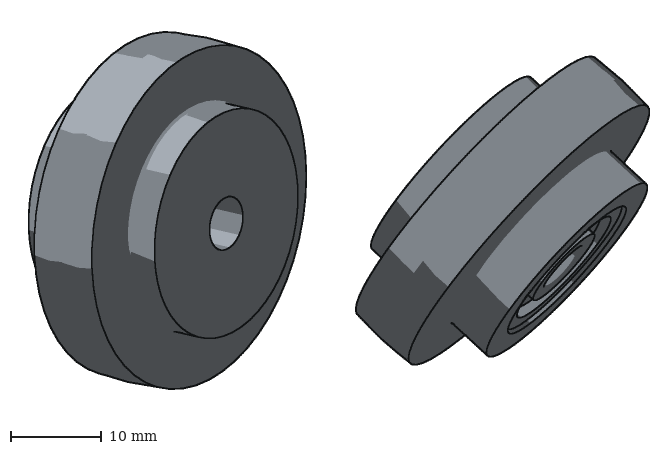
import cadquery as cq

rim_radius = 19.5
rim_half_width = 4.0
rim_crown = 0.2

hub_radius = 12.9
hub_front = -9.8
hub_back = 7.8
hub_fillet = 0.45

recess_radius = 9.48
recess_floor_radius = 9.25
recess_depth = 0.45

groove_outer_radius = 7.53
groove_inner_radius = 4.95
groove_wall_depth = 1.55
ridge_height = 0.75

bore_radius = 3.0
bore_rounding = 0.35


def wheel_body():
    """Crowned rim with a hub on each side, filleted at the joins."""
    rim_side_radius = rim_radius - rim_crown
    profile = (
        cq.Workplane("XY")
        .moveTo(hub_front, 0)
        .lineTo(hub_front, hub_radius)
        .lineTo(-rim_half_width, hub_radius)
        .lineTo(-rim_half_width, rim_side_radius)
        .lineTo(0, rim_radius)
        .lineTo(rim_half_width, rim_side_radius)
        .lineTo(rim_half_width, hub_radius)
        .lineTo(hub_back, hub_radius)
        .lineTo(hub_back, 0)
        .close()
    )
    body = profile.revolve(360, (0, 0, 0), (1, 0, 0))
    join_band = rim_half_width + hub_fillet
    hub_joins = cq.selectors.BoxSelector(
        (-join_band, -hub_radius, -hub_radius),
        (join_band, hub_radius, hub_radius),
    )
    return (
        body.edges("%CIRCLE")
        .edges(hub_joins)
        .edges(cq.selectors.RadiusNthSelector(0))
        .fillet(hub_fillet)
    )


def front_recess():
    """Shallow tapered recess in the front hub face."""
    floor = hub_front + recess_depth
    return (
        cq.Workplane("XY")
        .moveTo(hub_front, 0)
        .lineTo(hub_front, recess_radius)
        .lineTo(floor, recess_floor_radius)
        .lineTo(floor, 0)
        .close()
        .revolve(360, (0, 0, 0), (1, 0, 0))
    )


def front_groove():
    """Ring groove in the recess floor, its bottom a rounded ridge."""
    top = hub_front + recess_depth
    wall_end = top + groove_wall_depth
    middle_radius = (groove_outer_radius + groove_inner_radius) / 2
    return (
        cq.Workplane("XY")
        .moveTo(top, groove_inner_radius)
        .lineTo(top, groove_outer_radius)
        .lineTo(wall_end, groove_outer_radius)
        .threePointArc(
            (wall_end - ridge_height, middle_radius),
            (wall_end, groove_inner_radius),
        )
        .close()
        .revolve(360, (0, 0, 0), (1, 0, 0))
    )


def bore():
    """Through bore with its front mouth rounded over."""
    mouth = hub_front + recess_depth
    mouth_radius = bore_radius + bore_rounding
    return (
        cq.Workplane("XY")
        .moveTo(mouth, 0)
        .lineTo(mouth, mouth_radius)
        .radiusArc((mouth + bore_rounding, bore_radius), -bore_rounding)
        .lineTo(hub_back, bore_radius)
        .lineTo(hub_back, 0)
        .close()
        .revolve(360, (0, 0, 0), (1, 0, 0))
    )


result = wheel_body().cut(front_recess()).cut(front_groove()).cut(bore())